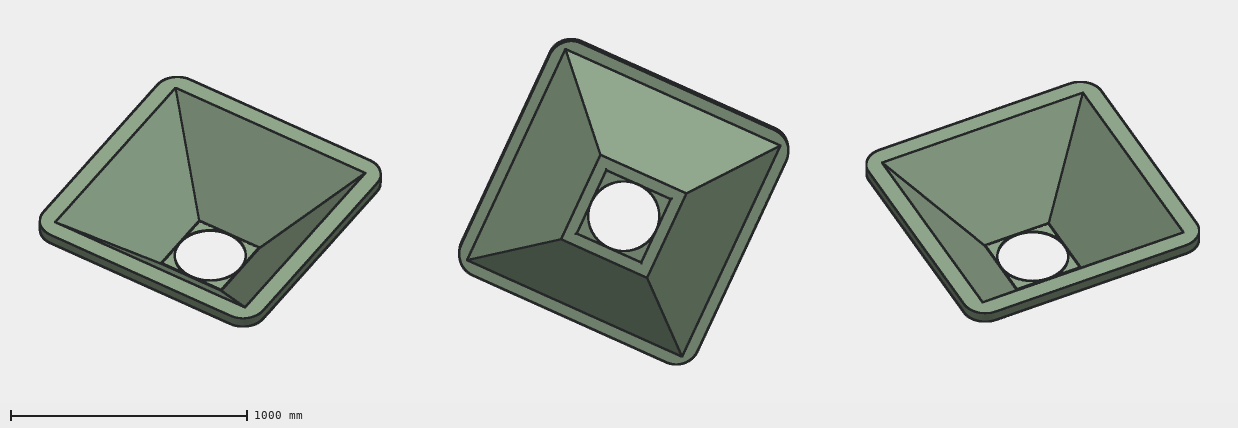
import cadquery as cq
import math

rim_x = 1100.0
rim_y = 1100.38
rim_corner_radius = 100.0
rim_thickness = 50.0

total_height = 350.0
outer_bottom = 400.0
wall_height = total_height - rim_thickness
outer_top = outer_bottom + 2 * wall_height

mouth = 950.0
outlet = 300.0

insert_thickness = 5.0
opening_radius = outlet / 2
corner_count = 4


def square_frustum(bottom_side, top_side, height):
    """Solid standing on Z = 0 that tapers between two centred squares."""
    return (
        cq.Workplane("XY")
        .rect(bottom_side, bottom_side)
        .workplane(offset=height)
        .rect(top_side, top_side)
        .loft(ruled=True)
    )


def make_funnel():
    """Hollow square funnel with its rim, open at the mouth and the outlet."""
    rim = (
        cq.Workplane("XY", origin=(0, 0, wall_height))
        .rect(rim_x, rim_y)
        .extrude(rim_thickness)
        .edges("|Z")
        .fillet(rim_corner_radius)
    )
    walls = square_frustum(outer_bottom, outer_top, wall_height)
    cavity = square_frustum(outlet, mouth, total_height)
    return walls.union(rim).cut(cavity)


def make_corner_insert(angle):
    """Plate between one outlet corner and the round opening, turned about Z by angle."""
    half_outlet = outlet / 2
    arc_middle = opening_radius * math.sqrt(0.5)
    return (
        cq.Workplane("XY")
        .moveTo(opening_radius, 0)
        .lineTo(half_outlet, half_outlet)
        .lineTo(0, opening_radius)
        .threePointArc((arc_middle, arc_middle), (opening_radius, 0))
        .close()
        .extrude(insert_thickness)
        .rotate((0, 0, 0), (0, 0, 1), angle)
    )


funnel = make_funnel()
corner_inserts = [make_corner_insert(corner * 360 / corner_count) for corner in range(corner_count)]

result = cq.Compound.makeCompound([funnel.val(), *[insert.val() for insert in corner_inserts]])